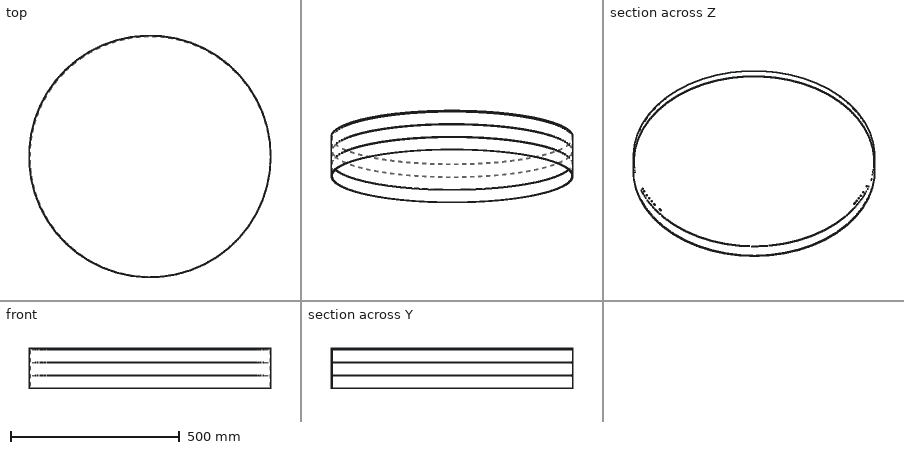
import cadquery as cq

outer_diameter = 717.0
inner_diameter = 711.5
height = 118.0
tier_count = 3
top_thickness = 3.5
shelf_thickness = 2.0
tier_pitch = 39.0

cavity_height = tier_pitch - shelf_thickness
top_cavity_ceiling = height - top_thickness


def disc(diameter, bottom, top):
    """Round solid on the Z axis between two levels."""
    return cq.Workplane("XY").workplane(offset=bottom).circle(diameter / 2).extrude(top - bottom)


result = disc(outer_diameter, 0, height)
for tier in range(tier_count):
    ceiling = top_cavity_ceiling - tier * tier_pitch
    is_lowest = tier == tier_count - 1
    floor = 0 if is_lowest else ceiling - cavity_height
    result = result.cut(disc(inner_diameter, floor, ceiling))